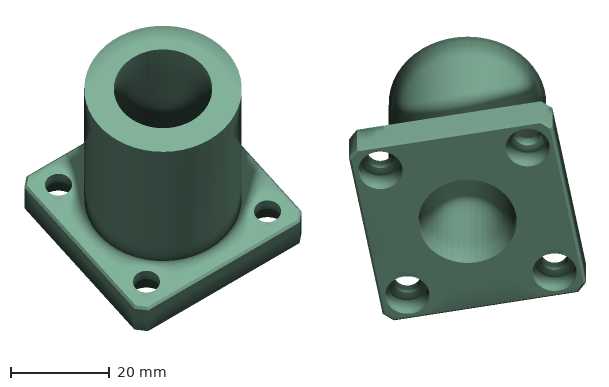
import cadquery as cq
import math

flange_side = 42.0
flange_thickness = 8.0
corner_chamfer = 2.0
edge_chamfer = 0.5

total_height = 45.0
sleeve_diameter = 32.0
bore_diameter = 20.0

bolt_circle_diameter = 42.98
screw_hole_diameter = 5.5
counterbore_diameter = 9.0
counterbore_depth = 5.2


def make_flange():
    """Square plate with cut corners and bevelled top and bottom rims."""
    plate = cq.Workplane("XY").box(
        flange_side, flange_side, flange_thickness, centered=(True, True, False)
    )
    plate = plate.edges("|Z").chamfer(corner_chamfer)
    return plate.faces("<Z or >Z").edges().chamfer(edge_chamfer)


def make_screw_holes():
    """Cutting bodies for the four counterbored screw holes."""
    hole_pitch = bolt_circle_diameter / math.sqrt(2)
    centres = cq.Workplane("XY").rect(hole_pitch, hole_pitch, forConstruction=True).vertices()
    shanks = centres.circle(screw_hole_diameter / 2).extrude(flange_thickness)
    heads = centres.circle(counterbore_diameter / 2).extrude(counterbore_depth)
    return shanks.union(heads)


sleeve = cq.Workplane("XY").circle(sleeve_diameter / 2).extrude(total_height)
bore = cq.Workplane("XY").circle(bore_diameter / 2).extrude(total_height)

body = make_flange().union(sleeve)
result = body.cut(bore).cut(make_screw_holes())